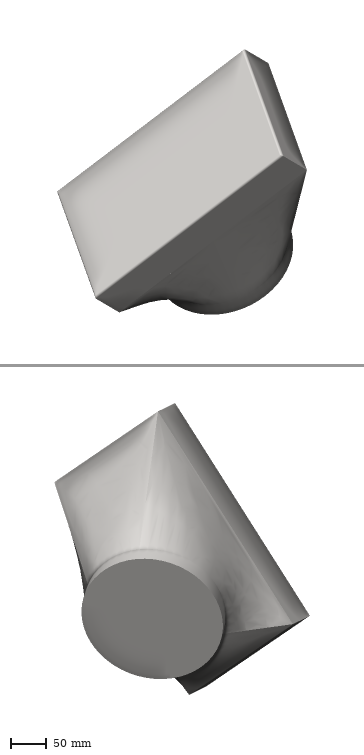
import cadquery as cq
import math

width = 203.0
box_length = 356.5
box_height = 57.0
box_tilt = 39.5
rim_fillet = 3.5
box_base_y = 15.5
box_base_z = 17.0

collar_radius = width / 2
collar_height = 25.3
collar_tilt = 15.0
total_height = 346.0
collar_base_y = 59.2
collar_base_z = collar_radius * math.sin(math.radians(collar_tilt)) - total_height / 2


def tilted_plane(y, z, tilt):
    """Plane on the symmetry plane X = 0 whose normal leans from Z by tilt about X."""
    angle = math.radians(tilt)
    normal = (0, -math.sin(angle), math.cos(angle))
    return cq.Plane(origin=(0, y, z), xDir=(1, 0, 0), normal=normal)


box_plane = tilted_plane(box_base_y, box_base_z, box_tilt)
collar_plane = tilted_plane(collar_base_y, collar_base_z, collar_tilt)


def make_box():
    """Sloping box with all four edges of its outer face rounded."""
    block = cq.Workplane(box_plane).box(width, box_length, box_height, centered=(True, True, False))
    top_face = cq.selectors.DirectionMinMaxSelector(box_plane.zDir, True)
    return block.faces(top_face).edges().fillet(rim_fillet)


def make_adapter():
    """Round collar with a transition that blends from the circle to the box underside."""
    collar = cq.Workplane(collar_plane).circle(collar_radius).extrude(collar_height)
    circle = cq.Workplane(collar_plane).workplane(offset=collar_height).circle(collar_radius).wires().val()
    rectangle = cq.Workplane(box_plane).rect(width, box_length).wires().val()
    transition = cq.Solid.makeLoft([circle, rectangle])
    return collar.union(cq.Workplane(transition))


box = make_box()
adapter = make_adapter()
result = cq.Compound.makeCompound([box.val(), adapter.val()])